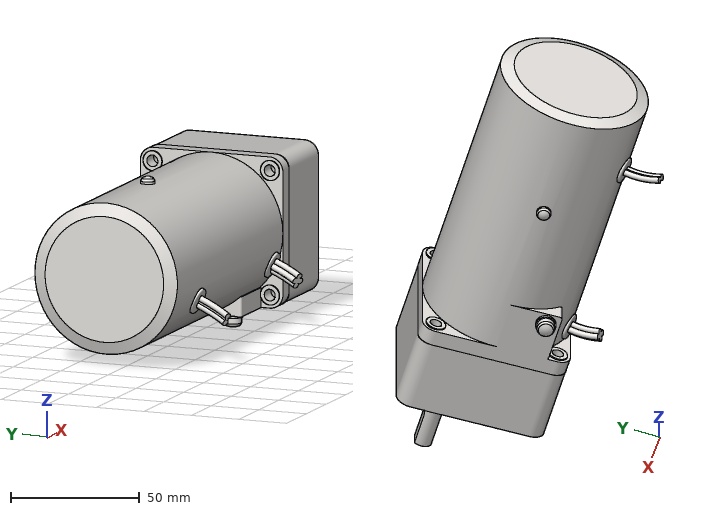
import cadquery as cq
import math

LENGTH = 177.0

CAN_DIAMETER = 60.0
REAR_BEVEL_LENGTH = 1.8
REAR_FACE_DIAMETER = 50.0

SQUARE_SIDE = 60.0
FLANGE_X = 108.5
FLANGE_CORNER = 5.5
HOLE_SPACING = 49.4
HOLE_DIAMETER = 4.6
PAD_DIAMETER = 8.0
PAD_HEIGHT = 0.5

GEARHEAD_X = 114.9
GEARHEAD_END_X = 144.8
GEARHEAD_CORNER = 6.0
SHAFT_OFFSET = 10.1
NECK_DIAMETER = 24.0
NECK_LENGTH = 5.3
NECK_BEVEL_LENGTH = 1.0
NECK_BEVEL_DEPTH = 0.5
SHAFT_DIAMETER = 8.0
FLAT_DEPTH = 1.0
FLAT_LENGTH = 12.7
FLAT_RUNOUT_RADIUS = 5.3

BLOCK_LENGTH = 20.0
BLOCK_HEIGHT = 8.0
BLOCK_SIDE_Y = -20.9
BLOCK_CORNER = 1.0

EARTH_X = 93.1
EARTH_Y = -15.4
EARTH_COLLAR_DIAMETER = 8.0
EARTH_COLLAR_HEIGHT = 1.0
EARTH_DIAMETER = 6.9
EARTH_STRAIGHT_HEIGHT = 3.4

COVER_SCREW_X = 43.9
COVER_SCREW_DIAMETER = 5.7
COVER_SCREW_STRAIGHT_HEIGHT = 0.9

SCREW_CONE_INSET = 0.5
SCREW_CONE_HEIGHT = 1.0
SCREW_DOME_HEIGHT = 0.7

CABLE_SLOPE = 22.5
GROMMET_DIAMETER = 10.6
GROMMET_ROUND = 0.5
GROMMET_FACE_RADIUS = 30.8
WIRE_DIAMETER = 2.5
WIRE_WEB_WIDTH = 1.5
PAIR_REACH = 1.5
DIAMOND_REACH = 2.0
DIAMOND_SIDE_REACH = 1.5
WIRE_BEND_RADIUS = 31.9
REAR_CABLE_X = 27.6
REAR_CABLE_BEND = 28.0
FRONT_CABLE_X = 103.0
FRONT_CABLE_BEND = 24.0

EMBED = 1.8

CAN_RADIUS = CAN_DIAMETER / 2
HALF_SIDE = SQUARE_SIDE / 2


def across_x(x, y=0.0):
    """Workplane across the motor axis: local x is Y, local y is Z, extrusion goes towards +X."""
    return cq.Workplane("YZ", origin=(x, y, 0))


def rounded_square(x_start, x_end, corner):
    square = across_x(x_start).rect(SQUARE_SIDE, SQUARE_SIDE).extrude(x_end - x_start)
    return square.edges("|X").fillet(corner)


def corner_cylinders(x_start, x_end, diameter):
    pattern = across_x(x_start).rect(HOLE_SPACING, HOLE_SPACING, forConstruction=True).vertices()
    return pattern.circle(diameter / 2).extrude(x_end - x_start)


def motor_can():
    profile = [
        (0, 0),
        (0, REAR_FACE_DIAMETER / 2),
        (REAR_BEVEL_LENGTH, CAN_RADIUS),
        (FLANGE_X, CAN_RADIUS),
        (FLANGE_X, 0),
    ]
    return cq.Workplane("XY").polyline(profile).close().revolve(360, (0, 0), (1, 0))


def motor_flange():
    plate = rounded_square(FLANGE_X, GEARHEAD_X, FLANGE_CORNER)
    pads = corner_cylinders(FLANGE_X - PAD_HEIGHT, FLANGE_X, PAD_DIAMETER)
    holes = corner_cylinders(FLANGE_X - PAD_HEIGHT, GEARHEAD_X, HOLE_DIAMETER)
    return plate.union(pads).cut(holes)


def terminal_block():
    """Box whose inner half lies inside the can."""
    block = cq.Workplane("XY").box(BLOCK_LENGTH, -BLOCK_SIDE_Y, BLOCK_HEIGHT, centered=False)
    block = block.translate((FLANGE_X - BLOCK_LENGTH, BLOCK_SIDE_Y, -HALF_SIDE))
    return block.edges("|Z and <X and <Y").fillet(BLOCK_CORNER)


def domed_screw(diameter, straight_height):
    """Screw end pointing up from Z = 0, with a stub of depth EMBED below it."""
    radius = diameter / 2
    dome_radius = radius - SCREW_CONE_INSET
    cone_top = straight_height + SCREW_CONE_HEIGHT
    apex = cone_top + SCREW_DOME_HEIGHT
    sphere_radius = (dome_radius**2 + SCREW_DOME_HEIGHT**2) / (2 * SCREW_DOME_HEIGHT)
    middle_r = dome_radius / 2
    middle_z = apex - sphere_radius + math.sqrt(sphere_radius**2 - middle_r**2)
    profile = (
        cq.Workplane("XZ")
        .moveTo(0, -EMBED)
        .lineTo(radius, -EMBED)
        .lineTo(radius, straight_height)
        .lineTo(dome_radius, cone_top)
        .threePointArc((middle_r, middle_z), (0, apex))
        .close()
    )
    return profile.revolve(360, (0, 0), (0, 1))


def cover_screw(side):
    """Screw on the top (side = 1) or the bottom (side = -1) of the can."""
    screw = domed_screw(COVER_SCREW_DIAMETER, COVER_SCREW_STRAIGHT_HEIGHT)
    screw = screw.translate((COVER_SCREW_X, 0, CAN_RADIUS))
    return screw if side > 0 else screw.mirror("XY")


def earth_screw():
    collar = cq.Workplane("XY").circle(EARTH_COLLAR_DIAMETER / 2).extrude(EARTH_COLLAR_HEIGHT)
    screw = domed_screw(EARTH_DIAMETER, EARTH_STRAIGHT_HEIGHT).union(collar)
    return screw.mirror("XY").translate((EARTH_X, EARTH_Y, -HALF_SIDE))


def cable(x, reach, side_reaches, bend):
    """Grommet and wires; local x is X and local z points radially out of the can along the cable slope.

    An upper and a lower wire lie `reach` from the centre, joined by a web; side wires lie at `side_reaches`.
    """
    slope = math.radians(CABLE_SLOPE)
    outward = cq.Vector(0, -math.cos(slope), -math.sin(slope))

    def across_cable(radius):
        return cq.Workplane(cq.Plane(cq.Vector(x, 0, 0) + outward * radius, (1, 0, 0), outward))

    def bent(section, section_x=0.0):
        axis_x = -WIRE_BEND_RADIUS - section_x
        return section.revolve(bend, (axis_x, 0), (axis_x, -1))

    grommet_start = CAN_RADIUS - EMBED
    grommet_length = GROMMET_FACE_RADIUS - grommet_start
    grommet = across_cable(grommet_start).circle(GROMMET_DIAMETER / 2).extrude(grommet_length)
    grommet = grommet.faces(cq.selectors.DirectionMinMaxSelector(outward)).edges().fillet(GROMMET_ROUND)
    web = bent(across_cable(CAN_RADIUS).rect(WIRE_WEB_WIDTH, 2 * reach))
    body = grommet.union(web)
    wire_centres = [(0, reach), (0, -reach)] + [(side, 0) for side in side_reaches]
    for centre in wire_centres:
        wire = bent(across_cable(CAN_RADIUS).center(*centre).circle(WIRE_DIAMETER / 2), centre[0])
        body = body.union(wire)
    return body.clean()


def build_motor():
    attached = [
        motor_flange(),
        terminal_block(),
        earth_screw(),
        cover_screw(1),
        cover_screw(-1),
        cable(REAR_CABLE_X, PAIR_REACH, [], REAR_CABLE_BEND),
        cable(FRONT_CABLE_X, DIAMOND_REACH, [DIAMOND_SIDE_REACH, -DIAMOND_SIDE_REACH], FRONT_CABLE_BEND),
    ]
    body = motor_can()
    for feature in attached:
        body = body.union(feature)
    return body


def gearhead_neck():
    """Round neck around the shaft, with a shallow bevel at its outer end."""
    radius = NECK_DIAMETER / 2
    end_x = GEARHEAD_END_X + NECK_LENGTH
    profile = [
        (GEARHEAD_END_X, 0),
        (GEARHEAD_END_X, radius),
        (end_x - NECK_BEVEL_LENGTH, radius),
        (end_x, radius - NECK_BEVEL_DEPTH),
        (end_x, 0),
    ]
    neck = cq.Workplane("XY", origin=(0, SHAFT_OFFSET, 0)).polyline(profile).close()
    return neck.revolve(360, (0, 0), (1, 0))


def shaft_flat_cutter():
    """Cutter for the flat on the +Y side of the shaft, with an arc run-out at its inner end."""
    flat_y = SHAFT_OFFSET + SHAFT_DIAMETER / 2 - FLAT_DEPTH
    flat_x = LENGTH - FLAT_LENGTH
    cutter = (
        cq.Workplane("XY", origin=(0, 0, -SHAFT_DIAMETER / 2))
        .moveTo(LENGTH, flat_y)
        .lineTo(flat_x, flat_y)
        .tangentArcPoint((flat_x - FLAT_RUNOUT_RADIUS, flat_y + FLAT_RUNOUT_RADIUS), relative=False)
        .lineTo(LENGTH, flat_y + FLAT_RUNOUT_RADIUS)
        .close()
    )
    return cutter.extrude(SHAFT_DIAMETER)


def build_gearhead():
    box = rounded_square(GEARHEAD_X, GEARHEAD_END_X, GEARHEAD_CORNER)
    box = box.cut(corner_cylinders(GEARHEAD_X, GEARHEAD_END_X, HOLE_DIAMETER))
    shaft = across_x(GEARHEAD_END_X, SHAFT_OFFSET).circle(SHAFT_DIAMETER / 2).extrude(LENGTH - GEARHEAD_END_X)
    return box.union(gearhead_neck()).union(shaft.cut(shaft_flat_cutter()))


motor = build_motor()
gearhead = build_gearhead()

result = cq.Compound.makeCompound([motor.solids().val(), gearhead.solids().val()])